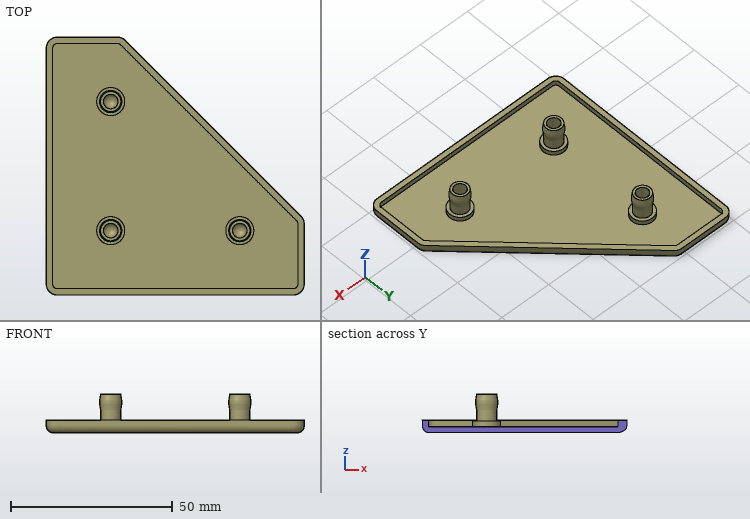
import cadquery as cq
import math

PLATE_SIDE = 80.0
PLATE_HEIGHT = 4.0
SHORT_SIDE = 23.5
CORNER_RADIUS = 3.5
BOTTOM_EDGE_RADIUS = 2.25

RIM_WIDTH = 2.0
FLOOR_THICKNESS = 2.0

PIN_INSET = 20.0
PIN_SPACING = 40.0
PIN_POSITIONS = [
    (PIN_INSET, PIN_INSET),
    (PIN_INSET + PIN_SPACING, PIN_INSET),
    (PIN_INSET, PIN_INSET + PIN_SPACING),
]
PIN_TOP = 12.0
PIN_BASE = FLOOR_THICKNESS / 2
PIN_RADIUS = 6.3 / 2
COLLAR_RADIUS = 8.7 / 2
COLLAR_TOP = 3.7

BEAD_RADIUS = 6.9 / 2
BEAD_START = 7.0
BEAD_FULL_START = 9.0
BEAD_FULL_END = 10.0

HOLE_RADIUS = 4.5 / 2
HOLE_BOTTOM = FLOOR_THICKNESS


def rounded_outline(inset=0.0):
    """Plate outline with rounded corners, moved inward by the inset."""
    sharp_outline = cq.Workplane("XY").polyline([
        (0, 0),
        (PLATE_SIDE, 0),
        (PLATE_SIDE, SHORT_SIDE),
        (SHORT_SIDE, PLATE_SIDE),
        (0, PLATE_SIDE),
    ]).close()
    return sharp_outline.offset2D(-CORNER_RADIUS).offset2D(CORNER_RADIUS - inset)


def make_tray():
    """Plate with a rounded bottom edge and a recess inside a constant-width rim."""
    plate = rounded_outline().extrude(PLATE_HEIGHT)
    plate = plate.faces("<Z").edges().fillet(BOTTOM_EDGE_RADIUS)
    recess = rounded_outline(RIM_WIDTH).extrude(PLATE_HEIGHT)
    return plate.cut(recess.translate((0, 0, FLOOR_THICKNESS)))


def make_pin():
    """Pin on the Z axis with its collar, snap bead and round-bottomed hole, as a half section revolved."""
    bore_end = HOLE_BOTTOM + HOLE_RADIUS
    arc_offset = HOLE_RADIUS * math.sqrt(0.5)
    half_section = (
        cq.Workplane("XZ")
        .moveTo(0, PIN_BASE)
        .lineTo(COLLAR_RADIUS, PIN_BASE)
        .lineTo(COLLAR_RADIUS, COLLAR_TOP)
        .lineTo(PIN_RADIUS, COLLAR_TOP)
        .lineTo(PIN_RADIUS, BEAD_START)
        .lineTo(BEAD_RADIUS, BEAD_FULL_START)
        .lineTo(BEAD_RADIUS, BEAD_FULL_END)
        .lineTo(PIN_RADIUS, PIN_TOP)
        .lineTo(HOLE_RADIUS, PIN_TOP)
        .lineTo(HOLE_RADIUS, bore_end)
        .threePointArc((arc_offset, bore_end - arc_offset), (0, HOLE_BOTTOM))
        .close()
    )
    return half_section.revolve(360, (0, 0), (0, 1))


result = make_tray()
pin = make_pin()
for x, y in PIN_POSITIONS:
    result = result.union(pin.translate((x, y, 0)))